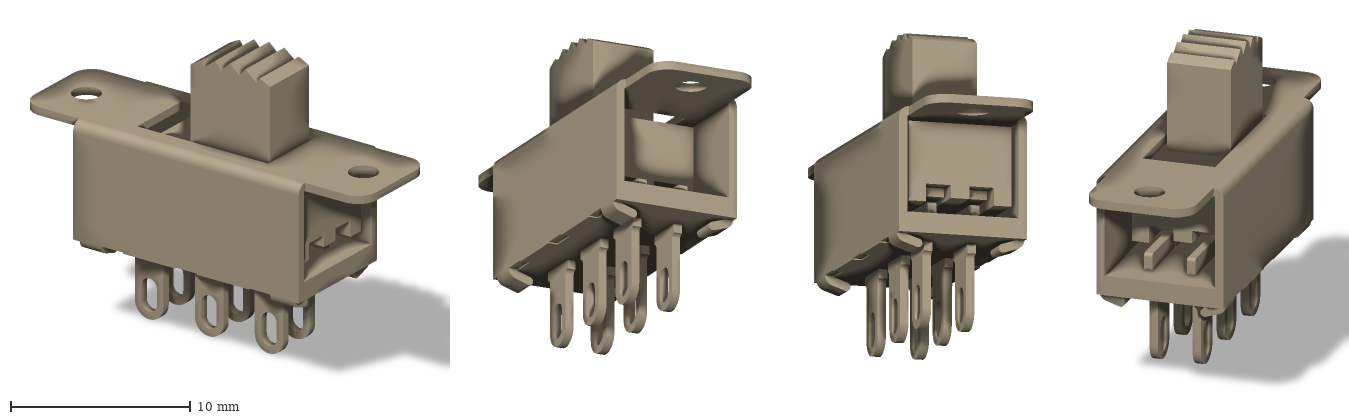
import cadquery as cq
import math


sheet = 0.5
housing_length = 15.49
housing_width = 7.5
bend_radius = 0.59
inner_bend_radius = bend_radius - sheet
wall_bottom = -7.07
cavity_width = housing_width - 2 * sheet

flange_length = 23.5
flange_width = housing_width - 2 * bend_radius
flange_corner_radius = 1.27
mount_hole_diameter = 1.76
mount_hole_spacing = 19.0
window_length = 9.0
window_width = 4.3

lug_width = 1.5
lug_outer_end = 7.28
lug_slope = math.radians(18)
lug_straight_length = 0.82

base_top = -6.0
base_bottom = -7.15
base_width = 6.4
end_tab_length = housing_length / 2 - lug_outer_end
side_tab_inner_end = 0.78
side_tab_outer_end = 4.3
side_tab_length = side_tab_outer_end - side_tab_inner_end

terminal_pitch = 4.11
row_offset = 1.27
terminal_thickness = 0.5
contact_length = 3.9
contact_top = -5.0
contact_corner_radius = 0.2
shoulder_length = 2.5
shoulder_bottom = -7.65
stem_length = 1.97
shoulder_fillet = (shoulder_length - stem_length) / 2
terminal_bottom = -11.87
eye_length = 2.02
eye_width = 1.03
eye_rim = 0.47
eye_bottom = terminal_bottom + eye_rim

slider_x = 1.7
slider_length = 11.0
slider_width = 6.02
slider_top = -0.7
slider_leg_bottom = -5.25
slider_leg_width = 1.0
slider_rib_width = 1.08
slider_rib_bottom = -4.95
slider_recess_top = -4.23
pad_length = 9.02
pad_width = 1.27
pad_bottom = -4.75

knob_length = 5.45
knob_width = 3.75
knob_top = 5.29
crown_radius = 5.3
middle_peak_offset = 1.03
outer_peak_offset = 2.02
inner_valley_offset = 0.6
inner_valley_depth = 0.56
outer_valley_offset = 1.8
outer_valley_depth = 0.7


def block(length, width, bottom, top, x=0.0, y=0.0):
    """Box centred on (x, y) that reaches from bottom to top."""
    return (
        cq.Workplane("XY", origin=(x, y, bottom))
        .box(length, width, top - bottom, centered=(True, True, False))
    )


def base_tabs():
    """Blocks across the full housing width: one at each end and two between."""
    end_x = (housing_length - end_tab_length) / 2
    side_x = (side_tab_inner_end + side_tab_outer_end) / 2
    tabs = cq.Workplane("XY")
    for side in (-1, 1):
        tabs = tabs.union(block(end_tab_length, housing_width, base_bottom, base_top, side * end_x))
        tabs = tabs.union(block(side_tab_length, housing_width, base_bottom, base_top, side * side_x))
    return tabs


def make_lug():
    """One retaining lug on the -Y wall, centred on X = 0."""
    wall_y = -housing_width / 2
    bend_y = wall_y + bend_radius
    run = (math.cos(lug_slope), -math.sin(lug_slope))
    outward = (-math.sin(lug_slope), -math.cos(lug_slope))

    def at(radius, angle):
        return (bend_y - radius * math.cos(angle), wall_bottom - radius * math.sin(angle))

    def along(point, distance):
        return (point[0] + distance * run[0], point[1] + distance * run[1])

    bend_angle = math.pi / 2 - lug_slope
    outer_bend_end = at(bend_radius, bend_angle)
    inner_bend_end = at(inner_bend_radius, bend_angle)
    outer_end = along(outer_bend_end, lug_straight_length)
    inner_end = along(inner_bend_end, lug_straight_length)
    tip_centre = (outer_end[0] - outward[0] * sheet / 2, outer_end[1] - outward[1] * sheet / 2)
    tip = along(tip_centre, sheet / 2)
    return (
        cq.Workplane("YZ")
        .moveTo(wall_y, wall_bottom)
        .threePointArc(at(bend_radius, bend_angle / 2), outer_bend_end)
        .lineTo(*outer_end)
        .threePointArc(tip, inner_end)
        .lineTo(*inner_bend_end)
        .threePointArc(at(inner_bend_radius, bend_angle / 2), at(inner_bend_radius, 0))
        .close()
        .extrude(lug_width / 2, both=True)
    )


def make_housing():
    channel = block(housing_length, housing_width, wall_bottom, 0).edges("|X and >Z").fillet(bend_radius)
    cavity = block(housing_length, cavity_width, wall_bottom, -sheet)
    cavity = cavity.edges("|X and >Z").fillet(inner_bend_radius)
    flange = block(flange_length, flange_width, -sheet, 0).edges("|Z").fillet(flange_corner_radius)
    window = block(window_length, window_width, -sheet, 0)
    mount_holes = (
        cq.Workplane("XY")
        .pushPoints([(-mount_hole_spacing / 2, 0), (mount_hole_spacing / 2, 0)])
        .circle(mount_hole_diameter / 2)
        .extrude(-sheet)
    )
    housing = channel.cut(cavity).union(flange).cut(window).cut(mount_holes).cut(base_tabs())

    lug = make_lug()
    lug_x = lug_outer_end - lug_width / 2
    for x in (-lug_x, lug_x):
        housing = housing.union(lug.translate((x, 0, 0)))
        housing = housing.union(lug.mirror("XZ").translate((x, 0, 0)))
    return housing


def make_terminal(x, y):
    """Flat terminal: contact bar above the base, shoulders through it, round-ended stem with an eye."""
    contact = (
        block(contact_length, terminal_thickness, base_top, contact_top)
        .edges("|Y and >Z")
        .fillet(contact_corner_radius)
    )
    shoulder = block(shoulder_length, terminal_thickness, shoulder_bottom, base_top)
    half_stem = stem_length / 2
    round_centre_z = terminal_bottom + half_stem
    stem = (
        cq.Workplane("XZ")
        .moveTo(-half_stem, shoulder_bottom)
        .lineTo(-half_stem, round_centre_z)
        .threePointArc((0, terminal_bottom), (half_stem, round_centre_z))
        .lineTo(half_stem, shoulder_bottom)
        .close()
        .extrude(terminal_thickness / 2, both=True)
    )
    eye = (
        cq.Workplane("XZ", origin=(0, 0, eye_bottom + eye_length / 2))
        .slot2D(eye_length, eye_width, 90)
        .extrude(terminal_thickness, both=True)
    )
    terminal = contact.union(shoulder).union(stem)
    for side in (-1, 1):
        terminal = terminal.union(make_shoulder_fillet(side))
    return terminal.cut(eye).translate((x, y, 0))


def make_shoulder_fillet(side):
    """Concave fillet in the corner between the stem and the shoulder."""
    corner_x = side * stem_length / 2
    centre_x = corner_x + side * shoulder_fillet
    centre_z = shoulder_bottom - shoulder_fillet
    reach = shoulder_fillet * math.sqrt(0.5)
    return (
        cq.Workplane("XZ")
        .moveTo(corner_x, shoulder_bottom)
        .lineTo(centre_x, shoulder_bottom)
        .threePointArc((centre_x - side * reach, centre_z + reach), (corner_x, centre_z))
        .close()
        .extrude(terminal_thickness / 2, both=True)
    )


def make_base(terminal_places):
    base = block(housing_length, base_width, base_bottom, base_top).union(base_tabs())
    for x, y in terminal_places:
        base = base.cut(block(shoulder_length, terminal_thickness, base_bottom, base_top, x, y))
    return base


def crown_height(offset):
    """Height of the knob's crown at a distance from the knob's middle."""
    return knob_top - crown_radius + math.sqrt(crown_radius**2 - offset**2)


def make_knob():
    half = knob_length / 2
    arc_middle = (half + outer_peak_offset) / 2
    teeth = [
        (outer_valley_offset, knob_top - outer_valley_depth),
        (middle_peak_offset, crown_height(middle_peak_offset)),
        (inner_valley_offset, knob_top - inner_valley_depth),
    ]
    right_teeth = teeth[::-1]
    left_teeth = [(-x, z) for x, z in teeth]
    outer_peak_z = crown_height(outer_peak_offset)
    outline = (
        cq.Workplane("XZ", origin=(slider_x, 0, 0))
        .moveTo(-half, slider_top)
        .lineTo(-half, crown_height(half))
        .threePointArc((-arc_middle, crown_height(arc_middle)), (-outer_peak_offset, outer_peak_z))
    )
    for point in left_teeth + [(0, knob_top)] + right_teeth:
        outline = outline.lineTo(*point)
    return (
        outline.lineTo(outer_peak_offset, outer_peak_z)
        .threePointArc((arc_middle, crown_height(arc_middle)), (half, crown_height(half)))
        .lineTo(half, slider_top)
        .close()
        .extrude(knob_width / 2, both=True)
    )


def make_slider():
    """Carriage with two side legs, a middle rib and two pads in the recesses, topped by the knob."""
    carriage = block(slider_length, slider_width, slider_recess_top, slider_top, slider_x)
    rib = block(slider_length, slider_rib_width, slider_rib_bottom, slider_recess_top, slider_x)
    slider = carriage.union(rib).union(make_knob())
    leg_y = (slider_width - slider_leg_width) / 2
    for side in (-1, 1):
        leg = block(
            slider_length, slider_leg_width, slider_leg_bottom, slider_recess_top, slider_x, side * leg_y
        )
        pad = block(pad_length, pad_width, pad_bottom, slider_recess_top, slider_x, side * row_offset)
        slider = slider.union(leg).union(pad)
    return slider


terminal_places = [
    (column * terminal_pitch, side * row_offset) for side in (-1, 1) for column in (-1, 0, 1)
]
housing = make_housing()
base = make_base(terminal_places)
slider = make_slider()
terminals = [make_terminal(x, y) for x, y in terminal_places]

result = cq.Compound.makeCompound(
    [body.solids().val() for body in [housing, base, slider, *terminals]]
)